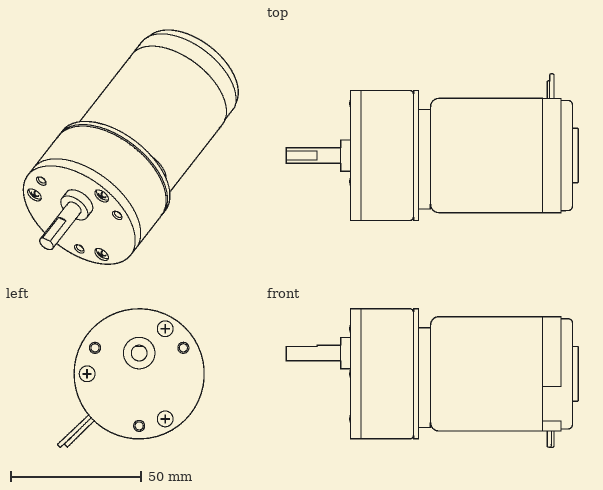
import cadquery as cq
import math


boss_front = 21.0
cover_front = 24.7
cover_rear = 28.8
groove_rear = 48.9
gearbox_rear = 50.8
can_front = 55.4
can_rear = 98.4
ring_rear = 105.6
cap_rear = 110.0
hub_rear = 112.2

gearbox_radius = 25.0
groove_fillet = 1.5
bolt_circle_radius = 20.0
boss_radius = 6.1
neck_lobe_radius = 10.0
neck_lobe_offset = 11.0
neck_lobe_angles = [45, 165, 285]

shaft_radius = 3.0
shaft_height = 8.0
flat_length = 11.9
flat_depth = 0.5

mount_hole_places = [(16.9, 10.0), (-16.9, 10.0), (0, -bolt_circle_radius)]
mount_hole_radius = 1.6
mount_hole_depth = 2.8
mount_hole_chamfer = 0.6
drill_tip_length = 0.9

screw_angles = [0, 120, 240]
screw_radius = 3.0
screw_seat_depth = 2.2
screw_bevel_depth = 1.1
screw_crown_edge_depth = 0.6
screw_crown_radius = 2.4
screw_protrusion = 0.28
cross_length = 3.1
cross_width = 0.3
cross_depth = 1.0

motor_radius = 22.0
can_fillet = 3.3
cap_radius = 21.2
cap_fillet = 1.8
hub_radius = 10.5
hub_fillet = 0.6
ring_gap_top = -4.8
ring_gap_bottom = -18.1

wire_radius = 0.84
wire_root_radius = 19.6
wire_root_angle = -45.0
long_wire_x = 102.0
long_wire_root_offset = 1.6
long_wire_tip = (30.9, -27.7)
short_wire_x = 101.0
short_wire_root_offset = 0.2
short_wire_tip = (28.2, -27.6)


def disc(x_start, x_end, radius, y=0.0, z=0.0):
    """Cylinder along X between two stations."""
    return cq.Workplane("YZ", origin=(x_start, y, z)).circle(radius).extrude(x_end - x_start)


def polar(radius, angle):
    """Y and Z of a point at an angle measured from +Y towards +Z."""
    turn = math.radians(angle)
    return radius * math.cos(turn), radius * math.sin(turn)


def make_shaft():
    """Output shaft with a flat on top of its free end."""
    shaft = disc(0, cover_rear, shaft_radius, z=shaft_height)
    flat_cut = cq.Workplane("XY").box(
        flat_length, 2 * shaft_radius, flat_depth, centered=(False, True, False)
    )
    return shaft.cut(flat_cut.translate((0, 0, shaft_height + shaft_radius - flat_depth)))


def make_mount_hole(y, z):
    """Cutter for a chamfered blind hole with a conical drill tip."""
    bottom = cover_front + mount_hole_depth
    profile = [
        (cover_front, 0),
        (cover_front, mount_hole_radius + mount_hole_chamfer),
        (cover_front + mount_hole_chamfer, mount_hole_radius),
        (bottom, mount_hole_radius),
        (bottom + drill_tip_length, 0),
    ]
    cutter = cq.Workplane("XY").polyline(profile).close().revolve(360, (0, 0), (1, 0))
    return cutter.translate((0, y, z))


def make_cover():
    """Front cover with the shaft boss, screw seats and mounting holes."""
    cover = disc(cover_front, cover_rear, gearbox_radius)
    cover = cover.union(disc(boss_front, cover_rear, boss_radius, z=shaft_height))
    cover = cover.cut(disc(boss_front, cover_rear, shaft_radius, z=shaft_height))
    for angle in screw_angles:
        y, z = polar(bolt_circle_radius, angle)
        cover = cover.cut(disc(cover_front, cover_front + screw_seat_depth, screw_radius, y, z))
    for y, z in mount_hole_places:
        cover = cover.cut(make_mount_hole(y, z))
    return cover


def make_screw(angle):
    """Screw head with a bevelled rim, a domed crown and a cross recess."""
    y, z = polar(bolt_circle_radius, angle)
    top = cover_front - screw_protrusion
    crown_edge = cover_front + screw_crown_edge_depth
    seat = cover_front + screw_seat_depth
    crown_height = crown_edge - top
    sphere_radius = (screw_crown_radius**2 + crown_height**2) / (2 * crown_height)
    half_turn = math.asin(screw_crown_radius / sphere_radius) / 2
    crown_middle = (
        top + sphere_radius * (1 - math.cos(half_turn)),
        sphere_radius * math.sin(half_turn),
    )
    head = (
        cq.Workplane("XY")
        .moveTo(top, 0)
        .threePointArc(crown_middle, (crown_edge, screw_crown_radius))
        .lineTo(cover_front + screw_bevel_depth, screw_radius)
        .lineTo(seat, screw_radius)
        .lineTo(seat, 0)
        .close()
        .revolve(360, (0, 0), (1, 0))
    )
    for size in [(cross_length, cross_width), (cross_width, cross_length)]:
        slot = cq.Workplane("YZ", origin=(top, 0, 0)).rect(*size).extrude(cross_depth)
        head = head.cut(slot)
    return head.translate((0, y, z))


def make_neck():
    """Three-lobed spacer: three circles joined by their outer tangents."""
    length = can_front - gearbox_rear
    centres = [polar(neck_lobe_offset, angle) for angle in neck_lobe_angles]
    neck = cq.Workplane("YZ").polyline(centres).close().offset2D(neck_lobe_radius).extrude(length)
    return neck.translate((gearbox_rear, 0, 0))


def make_gearbox():
    """Gearbox housing: rounded drum, rear plate and neck."""
    drum = disc(cover_rear, groove_rear, gearbox_radius).faces(">X").edges().fillet(groove_fillet)
    return drum.union(disc(groove_rear, gearbox_rear, gearbox_radius)).union(make_neck())


def make_can():
    """Motor can with a rounded front edge."""
    return disc(can_front, can_rear, motor_radius).faces("<X").edges().fillet(can_fillet)


def make_wire(x, root_offset, tip):
    """Straight lead wire from inside the end cap to its cut end."""
    root_y, root_z = polar(wire_root_radius, wire_root_angle)
    shift_y, shift_z = polar(root_offset, wire_root_angle + 90)
    root = cq.Vector(x, root_y + shift_y, root_z + shift_z)
    run = cq.Vector(x, *tip) - root
    return cq.Workplane(cq.Solid.makeCylinder(wire_radius, run.Length, root, run))


def make_end_cap(wires):
    """Rear end cap with an outer ring notched on its -Y side, a hub and wire holes."""
    cap = disc(can_rear, cap_rear, cap_radius).faces(">X").edges().fillet(cap_fillet)
    hub = disc(cap_rear, hub_rear, hub_radius).faces(">X").edges().fillet(hub_fillet)
    ring_gap = cq.Workplane("XY").box(
        ring_rear - can_rear, motor_radius, ring_gap_top - ring_gap_bottom, centered=False
    )
    ring_gap = ring_gap.translate((can_rear, -motor_radius, ring_gap_bottom))
    ring = disc(can_rear, ring_rear, motor_radius).cut(ring_gap)
    end_cap = cap.union(ring).union(hub)
    for wire in wires:
        end_cap = end_cap.cut(wire)
    return end_cap


shaft = make_shaft()
cover = make_cover()
screws = [make_screw(angle) for angle in screw_angles]
gearbox = make_gearbox()
can = make_can()
wires = [
    make_wire(long_wire_x, long_wire_root_offset, long_wire_tip),
    make_wire(short_wire_x, short_wire_root_offset, short_wire_tip),
]
end_cap = make_end_cap(wires)

bodies = [shaft, cover, *screws, gearbox, can, end_cap, *wires]
result = cq.Compound.makeCompound([body.solids().val() for body in bodies])